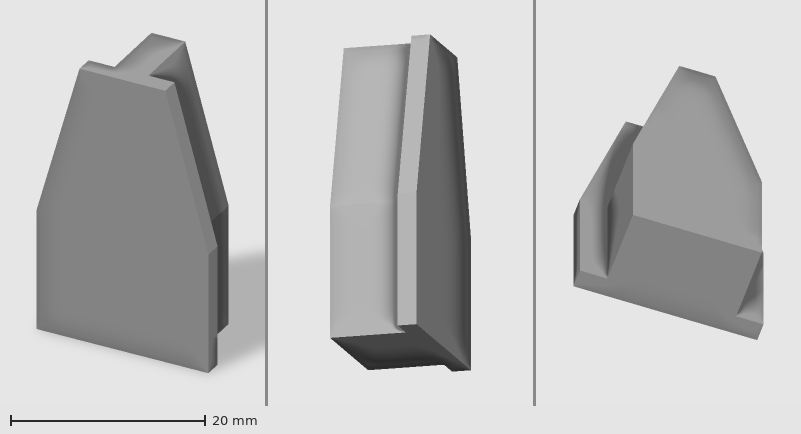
import cadquery as cq

height = 32.0
depth = 10.15
plate_width = 20.0
plate_top_width = 10.0
plate_thickness = 2.0
shoulder_height = 14.0
body_width = 14.0
body_top_width = 3.95


def tapered_slab(width, top_width, front, thickness):
    """Straight-sided lower part, narrowing from the shoulder to the top."""
    outline = [
        (-width / 2, 0),
        (width / 2, 0),
        (width / 2, shoulder_height),
        (top_width / 2, height),
        (-top_width / 2, height),
        (-width / 2, shoulder_height),
    ]
    return cq.Workplane("XZ", origin=(0, front, 0)).polyline(outline).close().extrude(-thickness)


plate = tapered_slab(plate_width, plate_top_width, 0, plate_thickness)
body = tapered_slab(body_width, body_top_width, plate_thickness, depth - plate_thickness)
result = plate.union(body)